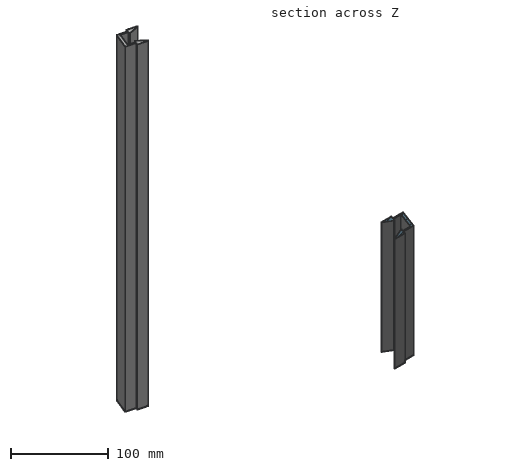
import cadquery as cq

length = 508.0
width = 25.0
depth = 25.5

channel_width = 20.0
wall = 1.5
floor = 3.5

barb_start = depth / 2
barb_width = 6.0
tip_width = 0.75
barb_land = 1.0

outer = width / 2
channel_outer = channel_width / 2
channel_inner = channel_outer - wall
barb_inner = outer - barb_width
tip_inner = outer - tip_width

right_half = [
    (channel_outer, 0),
    (channel_outer, barb_start),
    (outer, barb_start),
    (outer, depth),
    (tip_inner, depth),
    (barb_inner, barb_start + barb_land),
    (barb_inner, barb_start),
    (channel_inner, barb_start),
    (channel_inner, floor),
]
left_half = [(-x, y) for x, y in reversed(right_half)]

result = cq.Workplane("XY").polyline(right_half + left_half).close().extrude(length)